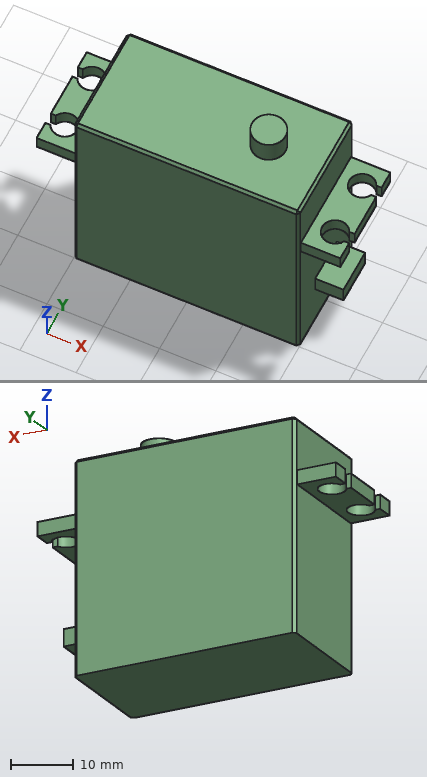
import cadquery as cq

case_length = 39.95
case_width = 20.0
total_height = 41.7
shaft_height = 4.2
case_height = total_height - shaft_height
case_chamfer = 0.5

shaft_diameter = 5.95
shaft_x = 9.8

lug_span = 53.95
lug_width = 18.5
lug_thickness = 2.5
lug_bottom = 25.85
lug_length = (lug_span - case_length) / 2

screw_hole_diameter = 4.6
screw_hole_x = 24.0
screw_hole_spacing = 10.0
screw_slot_width = 2.0
screw_slot_length = lug_span / 2 - screw_hole_x

cable_block_length = 5.0
cable_block_width = 8.0
cable_block_height = 3.0
cable_block_bottom = 8.3


def make_case():
    """Box with chamfered upright and top edges; the bottom edges stay sharp."""
    case = cq.Workplane("XY").box(case_length, case_width, case_height, centered=(True, True, False))
    return case.edges("|Z or >Z").chamfer(case_chamfer)


def make_lug(side):
    """Mounting lug on the +X (side = 1) or -X (side = -1) end of the case."""
    plane = cq.Workplane("XY").workplane(offset=lug_bottom)
    lug_center_x = side * (case_length + lug_length) / 2
    slot_center_x = side * (screw_hole_x + screw_slot_length / 2)
    hole_ys = [-screw_hole_spacing / 2, screw_hole_spacing / 2]

    lug = plane.center(lug_center_x, 0).rect(lug_length, lug_width).extrude(lug_thickness)
    holes = (
        plane.pushPoints([(side * screw_hole_x, y) for y in hole_ys])
        .circle(screw_hole_diameter / 2)
        .extrude(lug_thickness)
    )
    slots = (
        plane.pushPoints([(slot_center_x, y) for y in hole_ys])
        .rect(screw_slot_length, screw_slot_width)
        .extrude(lug_thickness)
    )
    return lug.cut(holes).cut(slots)


def make_cable_block():
    """Plain block where the cable leaves the case."""
    return (
        cq.Workplane("XY")
        .workplane(offset=cable_block_bottom)
        .center((case_length + cable_block_length) / 2, 0)
        .rect(cable_block_length, cable_block_width)
        .extrude(cable_block_height)
    )


def make_housing():
    """Case, both mounting lugs and the cable exit block as one solid."""
    housing = make_case()
    for side in (-1, 1):
        housing = housing.union(make_lug(side))
    return housing.union(make_cable_block())


def make_shaft():
    """Plain output shaft resting on the top face of the case."""
    return (
        cq.Workplane("XY")
        .workplane(offset=case_height)
        .center(shaft_x, 0)
        .circle(shaft_diameter / 2)
        .extrude(shaft_height)
    )


housing = make_housing()
shaft = make_shaft()
result = cq.Compound.makeCompound([housing.val(), shaft.val()])